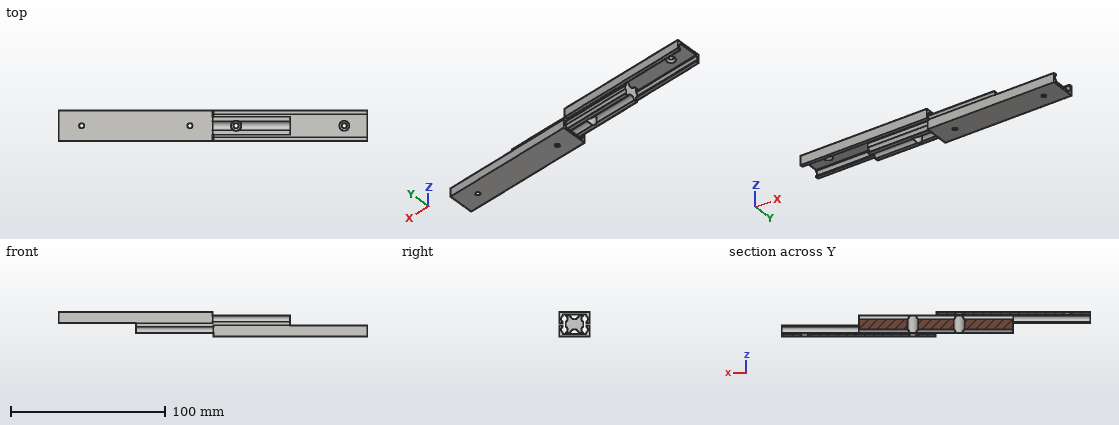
import cadquery as cq

total_length = 200.0
rail_width = 20.0
total_height = 16.0
end_gap = 0.5

rail_length = (total_length - end_gap) / 2
rail_height = 7.2
web_thickness = 1.8
channel_width = 15.0
hole_diameter = 3.2
countersink_diameter = 6.5
countersink_angle = 90.0
hole_end_distance = 15.0
hole_spacing = 70.0

race_diameter = 4.2
race_y = 6.5
race_spacing_z = 7.0
race_z = race_spacing_z / 2

slider_length = rail_length
slider_width = 11.5
slider_height = 11.5
slider_half_height = slider_height / 2
relief_half_width = 2.8
relief_depth = 2.5
access_hole_diameter = 6.8

rail_top = total_height / 2
web_inner_z = rail_top - web_thickness
first_hole_x = -total_length / 2 + hole_end_distance
second_hole_x = first_hole_x + hole_spacing


def bar(center_x, center_z, length, width, height):
    """Rectangular bar running along X."""
    return cq.Workplane("XY").box(length, width, height).translate((center_x, 0, center_z))


def race_cutters(z_levels):
    """Round bars along X that cut the ball races on both sides."""
    centers = [(side * race_y, z) for side in (-1, 1) for z in z_levels]
    return (
        cq.Workplane("YZ", origin=(-total_length / 2, 0, 0))
        .pushPoints(centers)
        .circle(race_diameter / 2)
        .extrude(total_length)
    )


def make_upper_rail():
    """C-shaped rail opening downward, with two holes countersunk from inside."""
    center_x = (rail_length - total_length) / 2
    rail = bar(center_x, rail_top - rail_height / 2, rail_length, rail_width, rail_height)
    channel_depth = rail_height - web_thickness
    channel_z = web_inner_z - channel_depth / 2
    rail = rail.cut(bar(center_x, channel_z, rail_length, channel_width, channel_depth))
    rail = rail.cut(race_cutters([race_z]))
    return (
        rail.copyWorkplane(cq.Workplane(cq.Plane((0, 0, web_inner_z), (1, 0, 0), (0, 0, -1))))
        .pushPoints([(first_hole_x, 0), (second_hole_x, 0)])
        .cskHole(hole_diameter, countersink_diameter, countersink_angle)
    )


def make_slider():
    """Double-sided slider with four races, two relief grooves and access holes."""
    slider = bar(0, 0, slider_length, slider_width, slider_height)
    slider = slider.cut(race_cutters([-race_z, race_z]))
    for side in (-1, 1):
        edge_z = side * slider_half_height
        relief = (
            cq.Workplane("YZ", origin=(-slider_length / 2, 0, 0))
            .moveTo(-relief_half_width, edge_z)
            .threePointArc((0, edge_z - side * relief_depth), (relief_half_width, edge_z))
            .close()
            .extrude(slider_length)
        )
        slider = slider.cut(relief)
    access_holes = (
        cq.Workplane("XY", origin=(0, 0, -slider_half_height))
        .pushPoints([(second_hole_x, 0), (-second_hole_x, 0)])
        .circle(access_hole_diameter / 2)
        .extrude(slider_height)
    )
    return slider.cut(access_holes)


upper_rail = make_upper_rail()
lower_rail = upper_rail.rotate((0, 0, 0), (0, 1, 0), 180)
slider = make_slider()

result = cq.Compound.makeCompound([upper_rail.val(), lower_rail.val(), slider.val()])